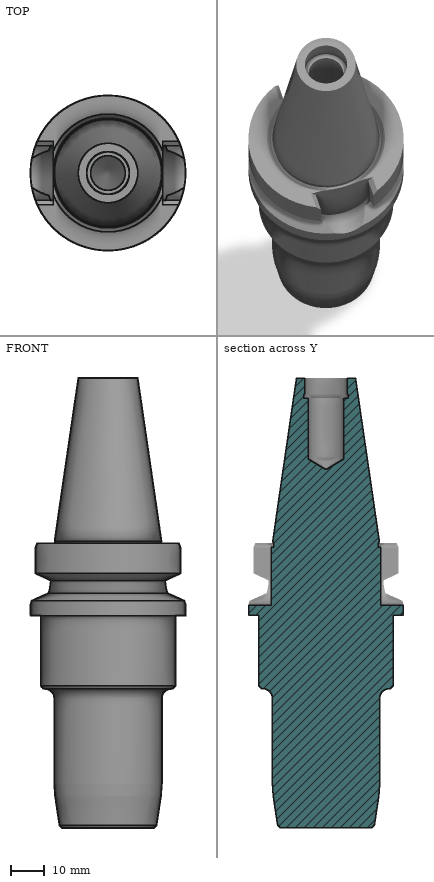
import cadquery as cq
import math

total_height = 133.4
gauge_z = 85.0
flange_top_z = 84.5
flange_bottom_z = 63.0

gauge_radius = 15.9
taper_rate = 7 / 24
taper_top_radius = gauge_radius - taper_rate * (total_height - gauge_z) / 2
neck_radius = 15.6
relief_outer_radius = 17.5
relief_inner_radius = 16.3
relief_depth = relief_outer_radius - relief_inner_radius

flange_radius = 46.0 / 2
groove_radius = 18.8
groove_top_z = 75.5
groove_floor_top_z = 73.4
groove_floor_bottom_z = 69.6
groove_bottom_z = 67.4

body_radius = 20.0
body_bottom_z = 41.2
body_chamfer = 1.0
shank_radius = 16.0
shank_fillet = 2.7
shank_bottom_z = 13.2
nose_top_z = 9.6
nose_top_radius = 15.7
nose_bottom_radius = 14.4
nose_chamfer = 0.8

slot_width = 16.3
slot_flat_x = 16.3
slot_bottom_z = 66.2
slot_mouth_chamfer = 1.3

counterbore_radius = 12.5 / 2
counterbore_depth = 5.0
undercut_radius = 13.0 / 2
undercut_height = 1.1
bore_radius = 10.3 / 2
bore_depth = 24.0
drill_point_angle = 118.0


def make_body():
    """Revolve the outer half profile about the Z axis."""
    fillet_offset = shank_fillet * (1 - math.sqrt(0.5))
    relief_floor_z = flange_top_z - relief_depth
    profile = (
        cq.Workplane("XZ")
        .lineTo(nose_bottom_radius - nose_chamfer, 0)
        .lineTo(nose_bottom_radius, nose_chamfer)
        .lineTo(nose_top_radius, nose_top_z)
        .lineTo(shank_radius, shank_bottom_z)
        .lineTo(shank_radius, body_bottom_z - shank_fillet)
        .threePointArc(
            (shank_radius + fillet_offset, body_bottom_z - fillet_offset),
            (shank_radius + shank_fillet, body_bottom_z),
        )
        .lineTo(body_radius - body_chamfer, body_bottom_z)
        .lineTo(body_radius, body_bottom_z + body_chamfer)
        .lineTo(body_radius, flange_bottom_z)
        .lineTo(flange_radius, flange_bottom_z)
        .lineTo(flange_radius, groove_bottom_z)
        .lineTo(groove_radius, groove_floor_bottom_z)
        .lineTo(groove_radius, groove_floor_top_z)
        .lineTo(flange_radius, groove_top_z)
        .lineTo(flange_radius, flange_top_z)
        .lineTo(relief_outer_radius, flange_top_z)
        .lineTo(relief_inner_radius, relief_floor_z)
        .lineTo(neck_radius, relief_floor_z)
        .lineTo(neck_radius, flange_top_z)
        .lineTo(gauge_radius, gauge_z)
        .lineTo(taper_top_radius, total_height)
        .lineTo(0, total_height)
        .close()
    )
    return profile.revolve(360, (0, 0, 0), (0, 1, 0))


def make_slot():
    """Round-bottomed drive slot on the +X side, open outward and upward."""
    half_width = slot_width / 2
    mouth_half_width = half_width + slot_mouth_chamfer
    return (
        cq.Workplane("YZ", origin=(slot_flat_x, 0, 0))
        .moveTo(-half_width, slot_bottom_z + half_width)
        .threePointArc((0, slot_bottom_z), (half_width, slot_bottom_z + half_width))
        .lineTo(half_width, flange_top_z - slot_mouth_chamfer)
        .lineTo(mouth_half_width, flange_top_z)
        .lineTo(-mouth_half_width, flange_top_z)
        .lineTo(-half_width, flange_top_z - slot_mouth_chamfer)
        .close()
        .extrude(flange_radius)
    )


def make_bore():
    """Counterbored drawbar hole with an undercut above the step and a drill point."""
    undercut_top_z = total_height - counterbore_depth
    step_z = undercut_top_z - undercut_height
    bore_bottom_z = total_height - bore_depth
    point_depth = bore_radius / math.tan(math.radians(drill_point_angle / 2))
    return (
        cq.Workplane("XZ")
        .moveTo(0, total_height)
        .lineTo(counterbore_radius, total_height)
        .lineTo(counterbore_radius, undercut_top_z)
        .lineTo(undercut_radius, undercut_top_z)
        .lineTo(undercut_radius, step_z)
        .lineTo(bore_radius, step_z)
        .lineTo(bore_radius, bore_bottom_z)
        .lineTo(0, bore_bottom_z - point_depth)
        .close()
        .revolve(360, (0, 0, 0), (0, 1, 0))
    )


result = make_body().cut(make_bore())
for side_angle in (0, 180):
    result = result.cut(make_slot().rotate((0, 0, 0), (0, 0, 1), side_angle))